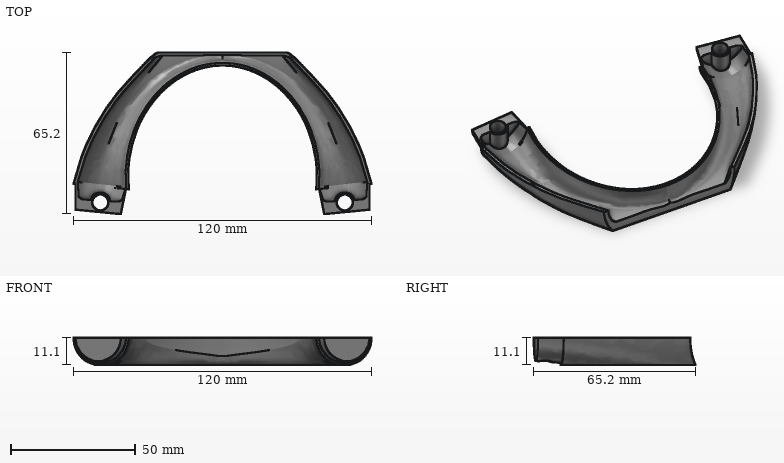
import cadquery as cq
import math

DEPTH = 11.11
ARM_FLOOR_DEPTH = 9.6
PLATE_FLOOR_DEPTH = 7.6
RAMP_START, RAMP_END = 0.3, 0.6
OUTER_RIM = 1.5
INNER_RIM = 1.1

INNER_HALF_WIDTH = 37.95
INNER_HALF_LENGTH = 44.75
INNER_CENTER_Y = 2.96
INNER_START = -6.5
INNER_END = 90.0

OUTER_END_X = -60.005
OUTER_CENTER_X = 28.0
OUTER_CENTER_Y = -20.0
OUTER_RADIUS = math.hypot(OUTER_END_X - OUTER_CENTER_X, OUTER_CENTER_Y)
OUTER_START = math.degrees(math.acos((OUTER_END_X - OUTER_CENTER_X) / OUTER_RADIUS))
OUTER_TANGENT = 136.0
TANGENT_X = OUTER_CENTER_X + OUTER_RADIUS * math.cos(math.radians(OUTER_TANGENT))
TANGENT_Y = OUTER_CENTER_Y + OUTER_RADIUS * math.sin(math.radians(OUTER_TANGENT))
TANGENT_LENGTH = -TANGENT_X / math.sin(math.radians(OUTER_TANGENT))
ARC_LENGTH = OUTER_RADIUS * math.radians(OUTER_START - OUTER_TANGENT)

END_REACH = 10.8
APEX_INNER_REACH = 2.6
APEX_CAVITY_REACH = 2.4
REAR_OUTER_REACH = 0.8
REAR_CAVITY_REACH = 2.0
REAR_STATION = 0.65
REACH_FALLOFF = 1.5

TRIM_START = 0.41
APEX_OVERSHOOT = 0.93

STATIONS = [0, 0.1, 0.2, 0.3, 0.41, 0.52, 0.64, 0.76, 0.88, 1]
CAVITY_START = 0.01
FLANK_STEPS = 6

REAR_TOP_Y = 51.0
REAR_MID_Y = 51.8
REAR_MID_DEPTH = 7.5
REAR_BOTTOM_Y = 53.0

TAB_ROOT = ((-59.25, 0.9), (-38.8, -1.6))
TAB_TIP = ((-59.25, -10.35), (-40.9, -12.15))
TAB_ROOT_DEPTH = 10.3
TAB_TIP_DEPTH = 9.5
TAB_FLAT_WIDTH = 0.2

POCKET_END = ((-57.8, -6.1), (-40.7, -7.2))
POCKET_END_DEPTH = 8.6
POCKET_CORNER = 3.0

HOLE_X, HOLE_Y = -49.2, -7.4
HOLE_DIAMETER = 6.4
BOSS_DIAMETER = 8.0

MARGIN = 5.0
FAR = 100.0


def inner_point(s):
    """Inner rim point; s runs from 0 at the arm end to 1 at the apex."""
    angle = math.radians(INNER_START + s * (INNER_END - INNER_START))
    x = -INNER_HALF_WIDTH * math.cos(angle)
    return x, INNER_CENTER_Y + INNER_HALF_LENGTH * math.sin(angle)


def outer_point(s):
    """Outer rim point at the same station."""
    travel = s * (ARC_LENGTH + TANGENT_LENGTH)
    if travel < ARC_LENGTH:
        angle = math.radians(OUTER_START) - travel / OUTER_RADIUS
        x = OUTER_CENTER_X + OUTER_RADIUS * math.cos(angle)
        return x, OUTER_CENTER_Y + OUTER_RADIUS * math.sin(angle)
    straight = travel - ARC_LENGTH
    angle = math.radians(OUTER_TANGENT)
    return TANGENT_X + straight * math.sin(angle), TANGENT_Y - straight * math.cos(angle)


def inner_reach(s, end_reach=END_REACH, apex_reach=APEX_INNER_REACH):
    return end_reach + s * (apex_reach - end_reach)


def outer_reach(s, rear_reach=REAR_OUTER_REACH, end_reach=END_REACH):
    """Reach of the outer flank, which steepens from the arm end to the rear face."""
    remaining = max(0, 1 - s / REAR_STATION)
    return rear_reach + (end_reach - rear_reach) * remaining**REACH_FALLOFF


def overshoot(s):
    """How far the inner flank runs past the rim before it is trimmed."""
    progress = max(0, s - TRIM_START) / (1 - TRIM_START)
    return APEX_OVERSHOOT * math.sin(progress * math.pi / 2)


def floor_depth(s):
    """Cavity depth, rising smoothly from the arm to the flat plate at the rear."""
    progress = min(1, max(0, (s - RAMP_START) / (RAMP_END - RAMP_START)))
    rise = (1 - math.cos(progress * math.pi)) / 2
    return ARM_FLOOR_DEPTH + rise * (PLATE_FLOOR_DEPTH - ARM_FLOOR_DEPTH)


def trough_wire(outer, inner, outer_flank, inner_flank, depth, extend=0.0):
    """Closed vertical section: flat top, two quarter-ellipse flanks and a flat bottom."""
    width = math.dist(outer, inner)
    along = cq.Vector((inner[0] - outer[0]) / width, (inner[1] - outer[1]) / width, 0)
    plane = cq.Plane(origin=(outer[0], outer[1], 0), xDir=along, normal=along.cross(cq.Vector(0, 0, 1)))
    inner_end = width + extend
    inner_tangent = width - inner_flank
    inner_span = inner_end - inner_tangent

    def at(x, z):
        return plane.toWorldCoords((x, z))

    def ellipse_edge(tangent_x, span):
        """Quarter ellipse from the rim down to the flat bottom."""
        points = []
        for step in range(FLANK_STEPS + 1):
            angle = math.pi / 2 * step / FLANK_STEPS
            points.append(at(tangent_x + span * math.cos(angle), -depth * math.sin(angle)))
        level = along * (-1 if span > 0 else 1)
        return cq.Edge.makeSpline(points, tangents=[cq.Vector(0, 0, -1), level])

    edges = [
        cq.Edge.makeLine(at(0, 0), at(inner_end, 0)),
        ellipse_edge(inner_tangent, inner_span),
        cq.Edge.makeLine(at(inner_tangent, -depth), at(outer_flank, -depth)),
        ellipse_edge(outer_flank, -outer_flank),
    ]
    return cq.Wire.assembleEdges(edges)


def inset(start, toward, distance):
    """Point at a distance from start on the line to toward."""
    length = math.dist(start, toward)
    return tuple(a + (b - a) * distance / length for a, b in zip(start, toward))


def shell_section(s):
    return trough_wire(outer_point(s), inner_point(s), outer_reach(s), inner_reach(s), DEPTH, overshoot(s))


def cavity_section(s):
    outer = inset(outer_point(s), inner_point(s), OUTER_RIM)
    inner = inset(inner_point(s), outer_point(s), INNER_RIM)
    outer_flank = outer_reach(s, REAR_CAVITY_REACH, END_REACH - OUTER_RIM)
    inner_flank = inner_reach(s, END_REACH - INNER_RIM, APEX_CAVITY_REACH)
    return trough_wire(outer, inner, outer_flank, inner_flank, floor_depth(s))


def loft(wires, ruled=False):
    return cq.Workplane(obj=cq.Solid.makeLoft(wires, ruled))


def tab_wire(corners, depth):
    flank = (math.dist(*corners) - TAB_FLAT_WIDTH) / 2
    return trough_wire(*corners, flank, flank, depth)


def trim_cutter():
    """Upright elliptical cylinder that trims the inner flank around the apex."""
    start_y = inner_point(TRIM_START)[1]
    ellipse = (
        cq.Workplane("XY")
        .center(0, INNER_CENTER_Y)
        .ellipse(INNER_HALF_WIDTH, INNER_HALF_LENGTH)
        .extrude(-DEPTH - MARGIN)
    )
    keep = cq.Workplane("XY").box(2 * FAR, FAR, FAR, centered=(True, False, True)).translate((0, start_y, 0))
    return ellipse.intersect(keep)


def rear_cutter():
    """Everything behind the concave rear face."""
    return (
        cq.Workplane("YZ")
        .moveTo(REAR_TOP_Y, 0)
        .threePointArc((REAR_MID_Y, -REAR_MID_DEPTH), (REAR_BOTTOM_Y, -DEPTH))
        .lineTo(REAR_BOTTOM_Y, -DEPTH - MARGIN)
        .lineTo(FAR, -DEPTH - MARGIN)
        .lineTo(FAR, MARGIN)
        .lineTo(REAR_TOP_Y, MARGIN)
        .close()
        .extrude(FAR, both=True)
    )


def pocket():
    """Pocket in the tab, rounded at its end corners and leaving the screw boss standing."""
    block = loft([cavity_section(CAVITY_START), tab_wire(POCKET_END, POCKET_END_DEPTH)], True)
    root_outer = outer_point(CAVITY_START)
    root_inner = inner_point(CAVITY_START)
    outline = (
        cq.Workplane("XY")
        .polyline([root_outer, root_inner, POCKET_END[1], POCKET_END[0]])
        .close()
        .extrude(-DEPTH)
    )
    end_corners = outline.edges("|Z").sort(lambda edge: edge.Center().y)[:2]
    outline = end_corners.fillet(POCKET_CORNER)
    boss = cq.Workplane("XY").center(HOLE_X, HOLE_Y).circle(BOSS_DIAMETER / 2).extrude(-DEPTH)
    return block.intersect(outline).cut(boss)


shell = loft([shell_section(s) for s in STATIONS]).cut(trim_cutter())
tab = loft([tab_wire(TAB_ROOT, TAB_ROOT_DEPTH), tab_wire(TAB_TIP, TAB_TIP_DEPTH)], True)
cavity = loft([cavity_section(max(s, CAVITY_START)) for s in STATIONS])
hole = cq.Workplane("XY").center(HOLE_X, HOLE_Y).circle(HOLE_DIAMETER / 2).extrude(-DEPTH - MARGIN)
half = shell.union(tab).cut(cavity).cut(pocket()).cut(hole).cut(rear_cutter())
result = half.union(half.mirror("YZ"))